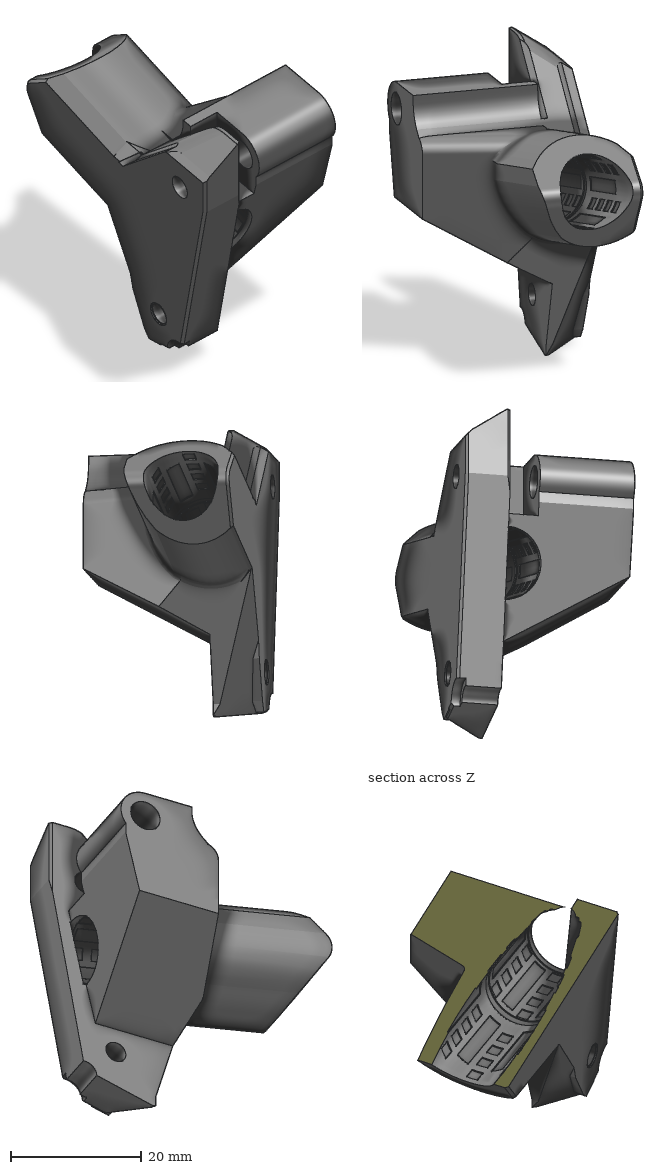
import cadquery as cq
import math

clearance = 0.48
flank_angle = math.radians(45)
diagonal = math.sin(flank_angle)

plate_thickness = 7.1
right_x = 44.0
top_z = 47.6
right_bend_z = 36.9
foot_right = (38.0, 3.15)
foot_left = (26.3, 0.0)
toe = (25.8, 0.2)
wall_bottom = (25.8, 1.9)
wall_top = (20.17, 21.9)
flank_rise = 9.1
flank_foot_x = 21.9
crest_round = 5.45
edge_break = 0.45

crest_bevel = [(0, 42.95), (1.0, 43.95), (6.45, top_z)]
flank_step = [(0, 0.4), (1.45, 0.4), (2.4, 0)]
flank_rear_bevel = [(6.1, 0), (plate_thickness, 0.4)]
left_bevel = [
    (20.17, 0, 22.05), (25.8, 0, 11.7), (25.8, 5.9, 2.1),
]
pad_depth = 1.7
pad_outline = [(25.8, 11.7), (26.4, 8.95), (29.2, 2.8), (30.35, 1.35), (33.3, 2.1), (30.95, 9.5)]
notch_centre = (38.1, 2.47)
notch_radius = 2.15
notch_recess_radius = 3.3
notch_recess_depth = 1.45

overall_depth = 27.25
boss_centre = (37.9, 38.05)
boss_radius = 4.2
block_left_x = 29.9
scoop_radius = 5.9
shelf_x = 27.25
scoop_bend = diagonal * scoop_radius
scoop_end_x = block_left_x - scoop_radius + scoop_bend
block_right_x = 41.3
block_right_foot_x = 33.8
block_low_z = 12.28
block_rear_low_z = 23.75
taper_front_x = 19.35
taper_rear_x = 25.3
taper_round = 2.6
slot_depth = 5.2
slot_left_x = 31.75
slot_corner = 2.95
slot_floor_z = 31.9

gusset_start_x = 21.8
gusset_bevel = [(0, 32.95), (2.15, 35.2)]

hole_radius = 1.85
boss_bore_radius = 2.5
lower_hole = (32.7, 8.05)
lower_hole_radius = 1.7
lower_hole_mouth = 1.95
lower_mouth_depth = 0.25

arm_tilt = math.radians(12)
arm_point = (6.85, 31.35)
arm_back_reach = 14.27
arm_reach = 21.9
arm_side_y = 16.6
arm_half_height = 8.65
arm_front_low = [(0, -6.45), (0.4, -6.85)]
arm_bottom = (6.35, -arm_half_height)
arm_rear_low = (12.1, -6.75)
arm_rear_bulge = (15.3, -2.3)
arm_side = [(arm_side_y, 1.7), (arm_side_y, 4.35)]
arm_rear_high = (15.5, 5.5)
arm_top = (7.6, arm_half_height)
arm_front_high = [(0, 4.65), (2.05, 6.9)]
arm_blend = 0.95
seam_points = [(20.7, 5.55, 20.1), (20.65, 11.45, 21.13), (21.65, 14.8, 25.4),
               (22.15, 16.6, 31.15), (22.05, 16.1, 33.15)]
nose_corner = (-0.75, 32.65)
nose_upper = (8.65, 39.8)
nose_lower = (5.15, 22.85)
nose_round = 2.4
bore_y = 7.5
bore_radius = 5.8
bore_end = 33.3
lip_start = 31.9
lip_radius = 5.6
groove_span = (15.95, 17.35)
pocket_depth = 0.2
sector_count = 6
window_width_angle = 18
window_starts = (-1.45, 17.7)
window_pitch = 3.85
window_length = 2.3
windows_per_row = 4
band_width_angle = 21
band_spans = ((1.5, 13.95), (18.55, 31.15))


def extrude_y(outline, y_start, y_end):
    """Extrude an XZ outline between two Y positions."""
    return outline.extrude(y_start - y_end).translate((0, y_start, 0))


def xz_prism(points, y_start, y_end):
    return extrude_y(cq.Workplane("XZ").polyline(points).close(), y_start, y_end)


def y_cylinder(centre, radius, y_start, y_end):
    return extrude_y(cq.Workplane("XZ").center(*centre).circle(radius), y_start, y_end)


def make_plate():
    crest = (top_z - flank_rise, top_z)
    plate = xz_prism([
        crest,
        (right_x, top_z),
        (right_x, right_bend_z),
        foot_right,
        foot_left,
        toe,
        wall_bottom,
        wall_top,
        (flank_foot_x, flank_foot_x + flank_rise),
    ], 0, plate_thickness)
    lean_middle = ((right_x + foot_right[0]) / 2, 0, (right_bend_z + foot_right[1]) / 2)
    foot_middle = ((foot_left[0] + foot_right[0]) / 2, 0, (foot_left[1] + foot_right[1]) / 2)
    side_middle = (right_x, 0, (right_bend_z + top_z) / 2)
    rear_middle = (right_x, plate_thickness, side_middle[2])
    for middle in (lean_middle, foot_middle, side_middle, rear_middle):
        plate = plate.edges(cq.NearestToPointSelector(middle)).chamfer(edge_break)
    return plate.cut(crest_cutter()).cut(crest_round_cutter())


def crest_cutter():
    (y0, z0), (y1, z1), (y2, z2) = crest_bevel
    above = top_z + clearance
    outline = cq.Workplane("YZ").polyline([
        (y0, z0), (y1, z1), (y2, z2), (y2, above), (y0, above)
    ]).close()
    return outline.extrude(right_x)


def crest_round_cutter():
    """Waste outside the round between flank and crest, first straight, then down the slope."""
    corner = (top_z - flank_rise, top_z)
    reach = crest_round * math.tan(flank_angle / 2)
    on_flank = (corner[0] - diagonal * reach, corner[1] - diagonal * reach)
    on_crest = (corner[0] + reach, corner[1])
    centre = (on_crest[0], on_crest[1] - crest_round)
    middle_angle = math.radians(90) + flank_angle / 2
    middle = (
        centre[0] + crest_round * math.cos(middle_angle),
        centre[1] + crest_round * math.sin(middle_angle),
    )
    _, (y1, z1), (y2, z2) = crest_bevel
    outline = (
        cq.Workplane("XZ", origin=(0, y2, 0))
        .moveTo(*on_flank)
        .threePointArc(middle, on_crest)
        .lineTo(on_crest[0], on_crest[1] + clearance)
        .lineTo(on_flank[0] - clearance, on_crest[1] + clearance)
        .lineTo(on_flank[0] - clearance, on_flank[1])
        .close()
    )
    face = cq.Face.makeFromWires(outline.val())
    drop = (z2 - z1) * y2 / (y2 - y1)
    straight = cq.Solid.extrudeLinear(face, cq.Vector(0, plate_thickness - y2, 0))
    sloped = cq.Solid.extrudeLinear(face, cq.Vector(-drop, -y2, -drop))
    return cq.Workplane(straight).union(cq.Workplane(sloped))


def flank_cutter(profile, start_x):
    """Waste between the flank and a (y, depth) profile, running up the flank from start_x."""
    along = cq.Plane(origin=(start_x, 0, start_x + flank_rise), xDir=(0, 1, 0), normal=(1, 0, 1))
    points = [(y, -depth) for y, depth in profile]
    outside = [(profile[-1][0], clearance), (profile[0][0], clearance)]
    length = (right_x - start_x) / diagonal
    return cq.Workplane(along).polyline(points + outside).close().extrude(length)


def left_cutter():
    start, end, deep = (cq.Vector(*p) for p in left_bevel)
    along = end - start
    normal = along.cross(deep - start).normalized()
    if normal.y > 0:
        normal = normal * -1
    plane = cq.Plane(origin=start.toTuple(), xDir=along.toTuple(), normal=normal.toTuple())
    return cq.Workplane(plane).rect(2 * top_z, top_z).extrude(top_z)


def make_block():
    top = boss_centre[1] + boss_radius
    shelf_z = shelf_x + flank_rise
    scoop_centre_z = scoop_end_x + flank_rise + scoop_bend
    mid = flank_angle / 2
    scoop_mid = (
        block_left_x - scoop_radius + scoop_radius * math.cos(mid),
        scoop_centre_z - scoop_radius * math.sin(mid),
    )
    inner_x = taper_front_x - clearance
    outline = (
        cq.Workplane("XZ")
        .moveTo(block_left_x, top)
        .lineTo(block_left_x, scoop_centre_z)
        .threePointArc(scoop_mid, (scoop_end_x, scoop_end_x + flank_rise))
        .lineTo(shelf_x, shelf_z)
        .lineTo(inner_x, shelf_z)
        .lineTo(inner_x, wall_top[1])
        .lineTo(*wall_top)
        .lineTo(*wall_bottom)
        .lineTo(block_right_foot_x, wall_bottom[1])
        .lineTo(block_right_x, boss_centre[1] - boss_radius)
        .lineTo(block_right_x, boss_centre[1])
        .lineTo(boss_centre[0], top)
        .close()
    )
    block = extrude_y(outline, plate_thickness, overall_depth)
    side_cut = cq.Workplane("XY").polyline([
        (taper_front_x, plate_thickness), (taper_rear_x, overall_depth),
        (0, overall_depth), (0, plate_thickness),
    ]).close().extrude(2 * top_z)
    block = block.cut(side_cut)
    middle_y = (plate_thickness + overall_depth) / 2
    side_edge = ((taper_front_x + taper_rear_x) / 2, middle_y, shelf_z)
    block = block.edges(cq.NearestToPointSelector(side_edge)).fillet(taper_round)
    block = block.union(y_cylinder(boss_centre, boss_radius, plate_thickness, overall_depth))
    under_cut = cq.Workplane("YZ").polyline([
        (plate_thickness, block_low_z), (overall_depth, block_rear_low_z),
        (overall_depth, 0), (plate_thickness, 0),
    ]).close().extrude(2 * top_z)
    return block.cut(under_cut)


def slot_cutter():
    slot = xz_prism([
        (slot_left_x, top_z), (slot_left_x, slot_floor_z), (right_x, slot_floor_z), (right_x, top_z)
    ], plate_thickness, plate_thickness + slot_depth)
    corner = (slot_left_x, plate_thickness + slot_depth / 2, slot_floor_z)
    return slot.edges(cq.NearestToPointSelector(corner)).fillet(slot_corner)


def make_gusset():
    (y0, z0), (y1, z1) = gusset_bevel
    outline = cq.Workplane("YZ").polyline([
        (y0, wall_top[1]), (y0, z0), (y1, z1), (plate_thickness, z1), (plate_thickness, wall_top[1])
    ]).close()
    return outline.extrude(z1 - flank_rise - gusset_start_x).translate((gusset_start_x, 0, 0))


arm_plane = cq.Plane(
    origin=(arm_point[0], 0, arm_point[1]),
    xDir=(0, 1, 0),
    normal=(math.cos(arm_tilt), 0, -math.sin(arm_tilt)),
)


def beyond_nose(point):
    """Far point on the line from the nose corner through a point of an end plane."""
    stretch = 5
    return tuple(c + stretch * (p - c) for c, p in zip(nose_corner, point))


def make_arm():
    section = (
        cq.Workplane(arm_plane)
        .moveTo(*arm_front_low[0])
        .lineTo(*arm_front_low[1])
        .threePointArc(arm_bottom, arm_rear_low)
        .threePointArc(arm_rear_bulge, arm_side[0])
        .lineTo(*arm_side[1])
        .lineTo(*arm_rear_high)
        .threePointArc(arm_top, arm_front_high[1])
        .lineTo(*arm_front_high[0])
        .close()
    )
    sleeve = section.extrude(arm_reach + arm_back_reach).translate(arm_plane.zDir * -arm_back_reach)

    wedge_points = [nose_corner, beyond_nose(nose_upper), beyond_nose(nose_lower)]
    wedge = xz_prism(wedge_points, 0, arm_side_y)
    nose_edge = (nose_corner[0], arm_side_y / 2, nose_corner[1])
    wedge = wedge.edges(cq.NearestToPointSelector(nose_edge)).fillet(nose_round)
    wedge = wedge.faces("<Y").chamfer(edge_break)
    return sleeve.intersect(wedge)


def axial_cylinder(radius, start, end):
    return (
        cq.Workplane(arm_plane).center(bore_y, 0).circle(radius).extrude(end - start)
        .translate(arm_plane.zDir * start)
    )


def make_bore():
    bore = axial_cylinder(bore_radius, -arm_back_reach, lip_start)
    bore = bore.union(axial_cylinder(lip_radius, lip_start - clearance, bore_end))
    bore = bore.union(axial_cylinder(bore_radius + pocket_depth, *groove_span))
    sector_step = 360 / sector_count
    for i in range(sector_count):
        row_angle = 90 + i * sector_step
        for first in window_starts:
            for k in range(windows_per_row):
                start = first + k * window_pitch
                bore = bore.union(bore_pocket(row_angle, window_width_angle, start, start + window_length))
        for start, end in band_spans:
            bore = bore.union(bore_pocket(row_angle + sector_step / 2, band_width_angle, start, end))
    return bore


def bore_pocket(middle_angle, width_angle, start, end):
    """Annular sector that deepens the bore wall between two axial positions."""
    inner = bore_radius - clearance
    outer = bore_radius + pocket_depth

    def at(radius, share):
        angle = math.radians(middle_angle + share * width_angle)
        return bore_y + radius * math.cos(angle), radius * math.sin(angle)

    return (
        cq.Workplane(arm_plane)
        .moveTo(*at(inner, -0.5))
        .lineTo(*at(outer, -0.5))
        .threePointArc(at(outer, 0), at(outer, 0.5))
        .lineTo(*at(inner, 0.5))
        .threePointArc(at(inner, 0), at(inner, -0.5))
        .close()
        .extrude(end - start)
        .translate(arm_plane.zDir * start)
    )


def bolt_holes():
    holes = y_cylinder(boss_centre, hole_radius, 0, overall_depth)
    holes = holes.union(y_cylinder(boss_centre, boss_bore_radius, plate_thickness, overall_depth))
    holes = holes.union(y_cylinder(lower_hole, lower_hole_radius, 0, overall_depth))
    return holes.union(y_cylinder(lower_hole, lower_hole_mouth, 0, lower_mouth_depth))


def notch_cutter():
    through = y_cylinder(notch_centre, notch_radius, 0, plate_thickness)
    return through.union(y_cylinder(notch_centre, notch_recess_radius, 0, notch_recess_depth))


front_step = flank_cutter(flank_step, flank_foot_x)
rear_bevel = flank_cutter(flank_rear_bevel, scoop_end_x)
plate = make_plate().cut(front_step).cut(rear_bevel)
body = plate.union(make_block()).cut(left_cutter())
body = body.union(xz_prism(pad_outline, 0, pad_depth)).union(make_gusset().cut(front_step))
body = body.union(make_arm())
seam = cq.Workplane()
for point in seam_points:
    seam = seam.add(body.edges(cq.NearestToPointSelector(point)))
body = body.newObject(seam.vals()).fillet(arm_blend)
result = body.cut(slot_cutter()).cut(make_bore()).cut(bolt_holes()).cut(notch_cutter())